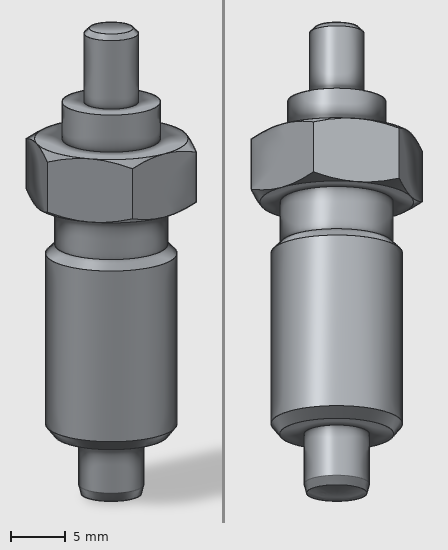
import cadquery as cq
import math


barrel_radius = 6.0
barrel_chamfer_radial = 0.8
barrel_chamfer_height = 1.0
neck_radius = 5.15
neck_bottom = 18.0
hex_across_flats = 14.0
hex_bottom = 22.0
hex_height = 6.0
hex_chamfer_angle = 30
collar_radius = 4.5
collar_height = 3.5

stem_radius = 2.5
stem_height = 7.0
stem_chamfer = 0.5
plunger_radius = 3.0
plunger_straight_length = 4.75
tip_taper_length = 0.85
tip_edge_radius = 2.75
tip_dome_height = 0.35

hex_top = hex_bottom + hex_height
collar_top = hex_top + collar_height
stem_top = collar_top + stem_height
hex_corner_radius = hex_across_flats / math.sqrt(3)
plunger_top = hex_bottom


def revolve_profile(profile):
    """Turn a closed radius-height outline around the Z axis."""
    return profile.close().revolve(360, (0, 0, 0), (0, 1, 0))


def make_barrel_and_neck():
    shoulder_height = barrel_radius - neck_radius
    return revolve_profile(
        cq.Workplane("XZ")
        .lineTo(barrel_radius - barrel_chamfer_radial, 0)
        .lineTo(barrel_radius, barrel_chamfer_height)
        .lineTo(barrel_radius, neck_bottom - shoulder_height)
        .lineTo(neck_radius, neck_bottom)
        .lineTo(neck_radius, hex_bottom)
        .lineTo(0, hex_bottom)
    )


def make_hexagon():
    """Hexagon with corners on X, its corners cut by a cone at both ends."""
    prism = (
        cq.Workplane("XY", origin=(0, 0, hex_bottom))
        .polygon(6, 2 * hex_corner_radius)
        .extrude(hex_height)
    )
    face_radius = hex_across_flats / 2
    corner_drop = (hex_corner_radius - face_radius) * math.tan(math.radians(hex_chamfer_angle))
    turned_blank = revolve_profile(
        cq.Workplane("XZ")
        .moveTo(0, hex_bottom)
        .lineTo(face_radius, hex_bottom)
        .lineTo(hex_corner_radius, hex_bottom + corner_drop)
        .lineTo(hex_corner_radius, hex_top - corner_drop)
        .lineTo(face_radius, hex_top)
        .lineTo(0, hex_top)
    )
    return prism.intersect(turned_blank)


def make_collar():
    return cq.Workplane("XY", origin=(0, 0, hex_top)).circle(collar_radius).extrude(collar_height)


def make_stepped_bore():
    wide_bore = cq.Workplane("XY").circle(plunger_radius).extrude(plunger_top)
    narrow_bore = cq.Workplane("XY").circle(stem_radius).extrude(collar_top)
    return wide_bore.union(narrow_bore)


def make_housing():
    solid_housing = make_barrel_and_neck().union(make_hexagon()).union(make_collar())
    return solid_housing.cut(make_stepped_bore())


def make_pin():
    """Stepped pin: chamfered stem on top, tapered and domed tip at the bottom."""
    taper_start = -plunger_straight_length
    tip_edge = taper_start - tip_taper_length
    tip_bottom = tip_edge - tip_dome_height
    dome_radius = (tip_edge_radius**2 + tip_dome_height**2) / (2 * tip_dome_height)
    half_angle = math.asin(tip_edge_radius / dome_radius) / 2
    dome_middle = (
        dome_radius * math.sin(half_angle),
        tip_bottom + dome_radius * (1 - math.cos(half_angle)),
    )
    return revolve_profile(
        cq.Workplane("XZ")
        .moveTo(0, tip_bottom)
        .threePointArc(dome_middle, (tip_edge_radius, tip_edge))
        .lineTo(plunger_radius, taper_start)
        .lineTo(plunger_radius, plunger_top)
        .lineTo(stem_radius, plunger_top)
        .lineTo(stem_radius, stem_top - stem_chamfer)
        .lineTo(stem_radius - stem_chamfer, stem_top)
        .lineTo(0, stem_top)
    )


housing = make_housing()
pin = make_pin()
result = cq.Compound.makeCompound([housing.solids().val(), pin.val()])